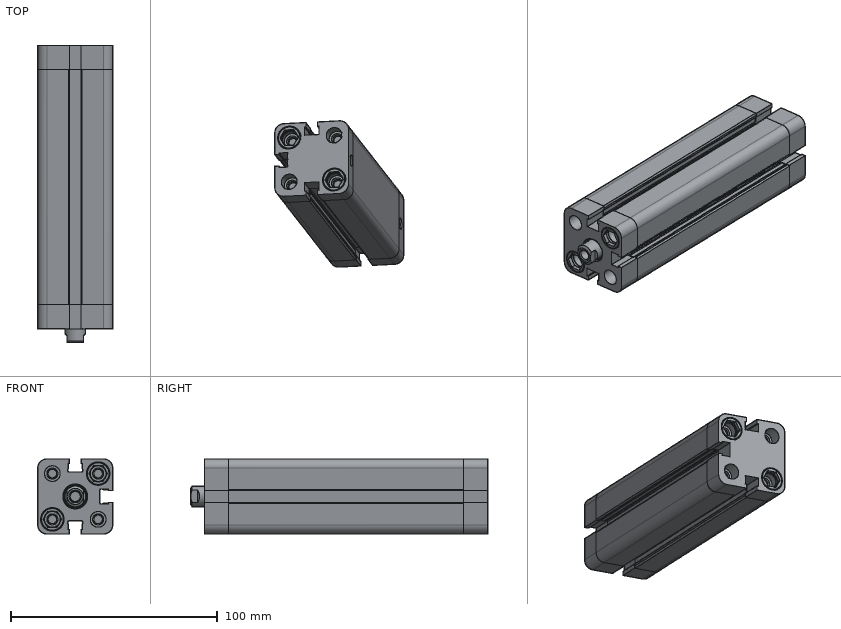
import cadquery as cq
import math


width = 36.3
total_length = 143.6
rod_overhang = 6.6
housing_length = total_length - rod_overhang
cap_length = 11.8
barrel_length = housing_length - 2 * cap_length
corner_radius = 4.5

slot_angles = (0, 90, 180)
slot_depth = 6.3
slot_neck_half = 2.9
slot_neck_depth = 2.2
slot_floor_half = 3.6
barrel_mouth_half = 3.3
barrel_mouth_depth = 1.0
barrel_wall_half = 3.2
barrel_flare_start = 4.6
barrel_flare = slot_floor_half - barrel_wall_half

rod_diameter = 10.0
rod_flats_width = 8.0
rod_flats_length = 3.3
rod_tip_chamfer_radial = 1.1
rod_tip_chamfer_length = 0.7
rod_thread_diameter = 4.9
rod_thread_mouth = 6.0
rod_thread_depth = 11.5
rod_end_wall = 2.9
rod_end = housing_length - rod_end_wall

seal_mouth_diameter = 12.0
seal_recess_diameter = 11.0
seal_recess_depth = 1.5

corner_offset = 11.0
mounting_diameter = 7.6
mounting_depth = 7.2
thread_diameter = 4.2
thread_mouth = 5.3
thread_depth = 10.0
boss_groove_diameter = 11.3
boss_diameter = 10.9
boss_top_diameter = 10.5
boss_groove_depth = 1.5
socket_across_flats = 7.8
socket_depth = 2.0
socket_relief_diameter = 8.0
socket_relief_end = 3.2

port_setback = 7.5
port_mouth = 5.5
port_diameter = 4.2


def cone_along_y(start_diameter, end_diameter, length):
    """A cone frustum along +Y that starts at the origin."""
    profile = [(0, 0), (start_diameter / 2, 0), (end_diameter / 2, length), (0, length)]
    return cq.Workplane("XY").polyline(profile).close().revolve(360, (0, 0, 0), (0, 1, 0))


def cylinder_along_y(diameter, start, end):
    return cq.Workplane("XZ", origin=(0, start, 0)).circle(diameter / 2).extrude(start - end)


def square_block(start, length):
    block = cq.Workplane("XZ", origin=(0, start, 0)).rect(width, width).extrude(-length)
    return block.edges("|Y").fillet(corner_radius)


def cut_slots(body, wall_profile, start, length):
    """Cut the slot given by (half width, depth) points into three sides."""
    right_wall = [(half, width / 2 - depth) for half, depth in wall_profile]
    left_wall = [(-x, z) for x, z in reversed(right_wall)]
    outline = cq.Workplane("XZ", origin=(0, start, 0)).polyline(right_wall + left_wall).close()
    slot = outline.extrude(-length)
    for angle in slot_angles:
        body = body.cut(slot.rotate((0, 0, 0), (0, 1, 0), angle))
    return body


def tapped_hole(mouth, bore, depth):
    """A bore along +Y with a 45 degree mouth chamfer."""
    return cylinder_along_y(bore, 0, depth).union(cone_along_y(mouth, bore, (mouth - bore) / 2))


def mounting_hole():
    """A stepped hole along +Y: wide bore, then a threaded bore in its floor."""
    thread = tapped_hole(thread_mouth, thread_diameter, thread_depth - mounting_depth)
    wide_bore = cylinder_along_y(mounting_diameter, 0, mounting_depth)
    return wide_bore.union(thread.translate((0, mounting_depth, 0)))


def boss_cutter():
    """The groove around a bevelled boss, together with the boss's relieved hexagon socket."""
    bevel = (boss_diameter - boss_top_diameter) / 2
    groove = cylinder_along_y(boss_groove_diameter, 0, boss_groove_depth)
    groove = groove.cut(cylinder_along_y(boss_diameter, bevel, boss_groove_depth))
    groove = groove.cut(cone_along_y(boss_top_diameter, boss_diameter, bevel))
    across_corners = socket_across_flats / math.cos(math.pi / 6)
    socket = cq.Workplane("XZ").polygon(6, across_corners).extrude(-socket_depth)
    relief = cylinder_along_y(socket_relief_diameter, socket_depth, socket_relief_end)
    return groove.union(socket).union(relief)


def air_port():
    """A chamfered port along +X that reaches the rod bore."""
    port = tapped_hole(port_mouth, port_diameter, width / 2).rotate((0, 0, 0), (0, 0, 1), -90)
    return port.translate((-width / 2, port_setback, 0))


def make_cap():
    """A cap without rod bore, outer face at Y = 0."""
    cap_slot = [
        (slot_neck_half, 0),
        (slot_neck_half, slot_neck_depth),
        (slot_floor_half, slot_neck_depth),
        (slot_floor_half, slot_depth),
    ]
    cap = cut_slots(square_block(0, cap_length), cap_slot, 0, cap_length)
    for x_side in (-1, 1):
        for z_side in (-1, 1):
            corner = (x_side * corner_offset, 0, z_side * corner_offset)
            cap = cap.cut(mounting_hole().translate(corner))
            if x_side == z_side:
                cap = cap.cut(boss_cutter().translate(corner))
    return cap.cut(air_port())


def make_front_cap():
    """The cap that the rod passes through, with a bevelled seal recess."""
    bevel = (seal_mouth_diameter - seal_recess_diameter) / 2
    cap = make_cap().cut(cylinder_along_y(rod_diameter, 0, cap_length))
    cap = cap.cut(cylinder_along_y(seal_recess_diameter, 0, seal_recess_depth))
    return cap.cut(cone_along_y(seal_mouth_diameter, seal_recess_diameter, bevel))


def make_rear_cap():
    """The mirrored cap, with a blind socket for the rod end."""
    cap = make_cap().mirror("XZ").translate((0, housing_length, 0))
    return cap.cut(cylinder_along_y(rod_diameter, housing_length - cap_length, rod_end))


def make_barrel():
    barrel_slot = [
        (barrel_mouth_half, 0),
        (slot_neck_half, barrel_mouth_depth),
        (slot_neck_half, slot_neck_depth),
        (barrel_wall_half, slot_neck_depth),
        (barrel_wall_half, barrel_flare_start),
        (slot_floor_half, barrel_flare_start + barrel_flare),
        (slot_floor_half, slot_depth - barrel_flare),
        (barrel_wall_half, slot_depth),
    ]
    barrel = cut_slots(square_block(cap_length, barrel_length), barrel_slot, cap_length, barrel_length)
    return barrel.cut(cylinder_along_y(rod_diameter, cap_length, cap_length + barrel_length))


def make_rod():
    """The rod with a bevelled tip, two wrench flats and a threaded end hole."""
    tip_top_diameter = rod_diameter - 2 * rod_tip_chamfer_radial
    tip = cone_along_y(tip_top_diameter, rod_diameter, rod_tip_chamfer_length)
    rod = cylinder_along_y(rod_diameter, rod_tip_chamfer_length - rod_overhang, rod_end)
    rod = rod.union(tip.translate((0, -rod_overhang, 0)))
    thread = tapped_hole(rod_thread_mouth, rod_thread_diameter, rod_thread_depth)
    rod = rod.cut(thread.translate((0, -rod_overhang, 0)))
    flat_inner = rod_flats_width / 2
    flat_outer = rod_diameter / 2
    flat_end = rod_flats_length - rod_overhang
    flat_profile = [
        (flat_inner, -rod_overhang),
        (flat_outer, -rod_overhang),
        (flat_outer, flat_end + flat_outer - flat_inner),
        (flat_inner, flat_end),
    ]
    flat = cq.Workplane("XY").polyline(flat_profile).close().extrude(flat_outer, both=True)
    return rod.cut(flat).cut(flat.mirror("YZ"))


front_cap = make_front_cap()
rear_cap = make_rear_cap()
barrel = make_barrel()
rod = make_rod()

result = cq.Compound.makeCompound([front_cap.val(), rear_cap.val(), barrel.val(), rod.val()])